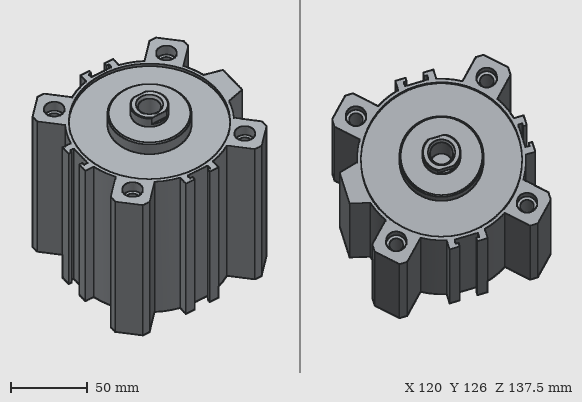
import cadquery as cq
import math

TOTAL_HEIGHT = 137.5
HOUSING_WIDTH = 120.0
HALF_WIDTH = HOUSING_WIDTH / 2
BODY_HEIGHT = 121.7
OVERLAP = 6.9

BARREL_RADIUS = 55.0
RECESS_DIAMETER = 105.0
RECESS_DEPTH = 2.5
COLLAR_DIAMETER = 55.0
COLLAR_TOP = 129.2
COLLAR_CHAMFER = 1.0

LUG_WIDTH = 25.7
LUG_REACH = 75.8
MOUNT_HOLE_PITCH = 89.1
MOUNT_HOLE_DIAMETER = 9.0
COUNTERBORE_DIAMETER = 13.5
COUNTERBORE_DEPTH = 8.2

RAIL_WIDTH = 26.0
SLOT_OPENING = 12.0
SLOT_INNER_WIDTH = 16.0
SLOT_LIP = 2.5
SLOT_DEPTH = 5.4
RAIL_ANGLES = (0, 180, 270)

BOSS_REACH = 66.0
BOSS_OUTER_WIDTH = 22.0
BOSS_TAPER = 15.0

ROD_DIAMETER = 25.0
ROD_CHAMFER = 0.5
ROD_INSERTION = 41.2
FLAT_WIDTH = 22.0
FLAT_LENGTH = 5.8
ROD_HOLE_DIAMETER = 15.0
COUNTERSINK_WIDTH = 1.4
COUNTERSINK_DEPTH = 2.3
ROD_HOLE_DEPTH = 27.5

ROD_BOTTOM = COLLAR_TOP - ROD_INSERTION


def cylinder(diameter, bottom, top):
    """Upright cylinder on the Z axis between two heights."""
    return cq.Workplane("XY").workplane(offset=bottom).circle(diameter / 2).extrude(top - bottom)


def full_height_bar(x_start, x_end, width):
    """Bar along the body height, spanning x_start to x_end and centred on Y = 0."""
    return (
        cq.Workplane("XY")
        .center((x_start + x_end) / 2, 0)
        .rect(x_end - x_start, width)
        .extrude(BODY_HEIGHT)
    )


def turned(shape, angle):
    """Copy of a shape turned about the Z axis."""
    return shape.rotate((0, 0, 0), (0, 0, 1), angle)


def make_lugs():
    """Diagonal cross of lugs with its tips trimmed to the square envelope."""
    bar = full_height_bar(-LUG_REACH, LUG_REACH, LUG_WIDTH)
    cross = turned(bar, 45).union(turned(bar, -45))
    envelope = cq.Workplane("XY").rect(HOUSING_WIDTH, HOUSING_WIDTH).extrude(BODY_HEIGHT)
    return cross.intersect(envelope)


def make_rail():
    """Rail on the +X side with an open T-slot."""
    rail = full_height_bar(BARREL_RADIUS - OVERLAP, HALF_WIDTH, RAIL_WIDTH)
    slot_floor = HALF_WIDTH - SLOT_DEPTH
    opening = full_height_bar(slot_floor, HALF_WIDTH, SLOT_OPENING)
    undercut = full_height_bar(slot_floor, HALF_WIDTH - SLOT_LIP, SLOT_INNER_WIDTH)
    return rail, opening.union(undercut)


def make_port_boss():
    """Boss on the +Y side that widens towards the barrel."""
    root_y = BARREL_RADIUS - OVERLAP
    outer_half = BOSS_OUTER_WIDTH / 2
    root_half = outer_half + (BOSS_REACH - root_y) * math.tan(math.radians(BOSS_TAPER))
    return (
        cq.Workplane("XY")
        .polyline([
            (-root_half, root_y),
            (root_half, root_y),
            (outer_half, BOSS_REACH),
            (-outer_half, BOSS_REACH),
        ])
        .close()
        .extrude(BODY_HEIGHT)
    )


def make_housing():
    """Profiled cylinder body with its collar, holes and socket for the rod."""
    housing = cylinder(2 * BARREL_RADIUS, 0, BODY_HEIGHT).union(make_lugs()).union(make_port_boss())

    rail, slot = make_rail()
    for angle in RAIL_ANGLES:
        housing = housing.union(turned(rail, angle)).cut(turned(slot, angle))

    recess_floor = BODY_HEIGHT - RECESS_DEPTH
    housing = housing.cut(cylinder(RECESS_DIAMETER, recess_floor, BODY_HEIGHT))
    collar = cylinder(COLLAR_DIAMETER, recess_floor, COLLAR_TOP).faces(">Z").chamfer(COLLAR_CHAMFER)
    housing = housing.union(collar)

    mount_holes = (
        cq.Workplane("XY")
        .workplane(offset=BODY_HEIGHT)
        .rect(MOUNT_HOLE_PITCH, MOUNT_HOLE_PITCH, forConstruction=True)
        .vertices()
    )
    counterbores = mount_holes.circle(COUNTERBORE_DIAMETER / 2).extrude(-COUNTERBORE_DEPTH)
    through_holes = mount_holes.circle(MOUNT_HOLE_DIAMETER / 2).extrude(-BODY_HEIGHT)
    housing = housing.cut(counterbores).cut(through_holes)

    return housing.cut(cylinder(ROD_DIAMETER, ROD_BOTTOM, COLLAR_TOP))


def make_rod():
    """Piston rod with two wrench flats and a blind hole in its tip."""
    rod = cylinder(ROD_DIAMETER, ROD_BOTTOM, TOTAL_HEIGHT).faces(">Z").chamfer(ROD_CHAMFER)

    flats_bottom = TOTAL_HEIGHT - FLAT_LENGTH
    tip_ring = cylinder(2 * ROD_DIAMETER, flats_bottom, TOTAL_HEIGHT)
    between_flats = (
        cq.Workplane("XY")
        .workplane(offset=flats_bottom)
        .rect(FLAT_WIDTH, 2 * ROD_DIAMETER)
        .extrude(FLAT_LENGTH)
    )
    rod = rod.cut(tip_ring.cut(between_flats))

    rod = rod.cut(cylinder(ROD_HOLE_DIAMETER, TOTAL_HEIGHT - ROD_HOLE_DEPTH, TOTAL_HEIGHT))
    hole_radius = ROD_HOLE_DIAMETER / 2
    countersink = cq.Solid.makeCone(
        hole_radius,
        hole_radius + COUNTERSINK_WIDTH,
        COUNTERSINK_DEPTH,
        pnt=cq.Vector(0, 0, TOTAL_HEIGHT - COUNTERSINK_DEPTH),
    )
    return rod.cut(cq.Workplane(countersink))


housing = make_housing()
rod = make_rod()

result = cq.Compound.makeCompound([housing.val(), rod.val()])